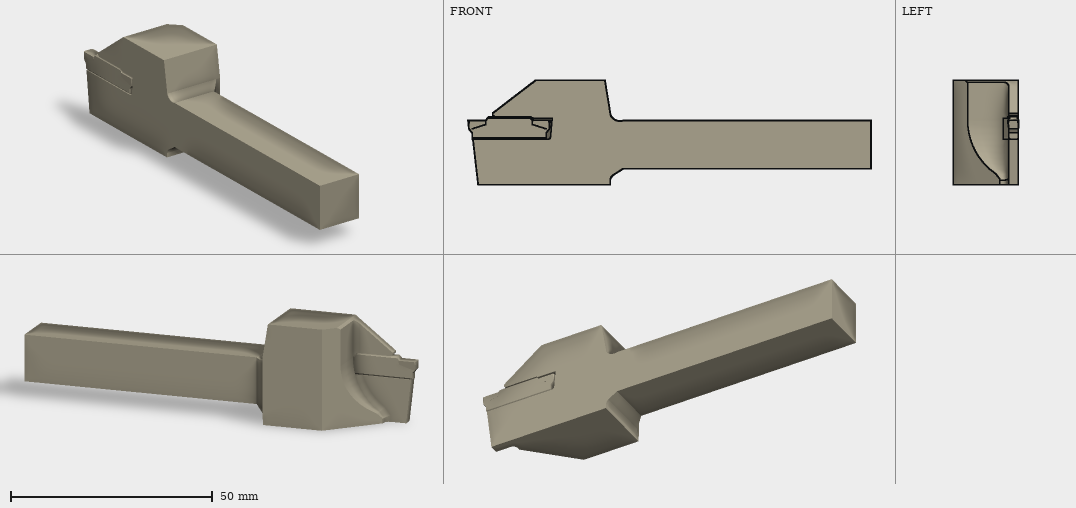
import cadquery as cq
import math

total_length = 100.0
head_height = 26.0
head_width = 16.2
shank_size = 12.0
shank_bottom = 4.0
shank_top = shank_bottom + shank_size

blade_toe_x = 2.5
blade_seat_x = 1.2
jaw_tip_x = 6.1
jaw_tip_z = 17.8
jaw_lip_z = 17.3
jaw_lip_length = 0.5
jaw_top_x = 16.8
head_top_end_x = 34.0
head_end_x = 35.4
neck_end_x = 38.5
upper_neck_z = 17.4
lower_neck_x = 35.3
lower_neck_z = 2.4
lower_neck_start_z = 1.2
lower_neck_run = 0.7
upper_neck_radius = 2.5
lower_neck_radius = 2.0

plan_nose_y = 4.6
plan_offset_x = 3.5
neck_shoulder_y = 15.0

blade_thickness = 2.4
relief_radius = 16.1
relief_end_z = 2.7
relief_toe_x = 7.9
relief_toe_z = 1.2
relief_fillet = 1.3

insert_length = 20.4
body_inset = 1.0
flank_end_x = 0.2
insert_bottom = 11.3
cutting_z = shank_top
insert_top = 16.9
tip_length = 4.4
ramp_length = 0.7
tip_overhang = 0.1
tip_back_y = 2.7
tip_heel_z = 13.9
tip_root_z = 15.0
tip_chin_z = 12.9
tip_corner_radius = 0.4
insert_chamfer = 0.4
seat_end_x = 20.9
seat_heel_x = 20.5
seat_heel_radius = 0.8
seat_depth = 3.8
seat_roof_end_x = 15.6
seat_rear_roof_z = 16.6


def prism(outline, back_y, front_y=0.0):
    """Extrude a closed XZ outline from front_y to back_y."""
    return outline.extrude(front_y - back_y).translate((0, front_y, 0))


def make_holder_blank():
    side = (
        cq.Workplane("XZ")
        .moveTo(blade_toe_x, 0)
        .lineTo(blade_seat_x, insert_bottom)
        .lineTo(jaw_tip_x + jaw_lip_length, insert_bottom)
        .lineTo(jaw_tip_x + jaw_lip_length, insert_top)
        .lineTo(jaw_tip_x, jaw_lip_z)
        .lineTo(jaw_tip_x, jaw_tip_z)
        .lineTo(jaw_top_x, head_height)
        .lineTo(head_top_end_x, head_height)
        .lineTo(head_end_x, upper_neck_z)
        .radiusArc((neck_end_x, shank_top), -upper_neck_radius)
        .lineTo(total_length, shank_top)
        .lineTo(total_length, shank_bottom)
        .lineTo(neck_end_x, shank_bottom)
        .lineTo(lower_neck_x + lower_neck_run, lower_neck_z)
        .radiusArc((lower_neck_x, lower_neck_start_z), -lower_neck_radius)
        .lineTo(lower_neck_x, 0)
        .close()
    )
    plan = (
        cq.Workplane("XY")
        .polyline([
            (0, 0),
            (total_length, 0),
            (total_length, shank_size),
            (neck_end_x, shank_size),
            (head_end_x, neck_shoulder_y),
            (head_end_x, head_width),
            (head_width + plan_offset_x, head_width),
            (plan_nose_y + plan_offset_x, plan_nose_y),
            (0, plan_nose_y),
        ])
        .close()
        .extrude(head_height)
    )
    return prism(side, head_width).intersect(plan)


def make_relief():
    """Space behind the blade, rounded about the cutting edge."""
    relief_end_x = math.sqrt(relief_radius**2 - (cutting_z - relief_end_z) ** 2)
    outline = (
        cq.Workplane("XZ")
        .moveTo(-relief_radius, -relief_radius)
        .lineTo(relief_toe_x, -relief_radius)
        .lineTo(relief_toe_x, relief_toe_z)
        .lineTo(relief_end_x, relief_end_z)
        .radiusArc((relief_radius, cutting_z), -relief_radius)
        .lineTo(relief_radius, 2 * head_height)
        .lineTo(-relief_radius, 2 * head_height)
        .close()
    )
    relief = prism(outline, head_width, blade_thickness)
    return relief.faces("<Y").edges().fillet(relief_fillet)


def make_seat():
    outline = (
        cq.Workplane("XZ")
        .moveTo(0, insert_bottom)
        .lineTo(seat_heel_x - seat_heel_radius, insert_bottom)
        .radiusArc((seat_heel_x, insert_bottom + seat_heel_radius), -seat_heel_radius)
        .lineTo(seat_end_x, seat_rear_roof_z)
        .lineTo(seat_roof_end_x, seat_rear_roof_z)
        .lineTo(seat_roof_end_x, insert_top)
        .lineTo(0, insert_top)
        .close()
    )
    return prism(outline, seat_depth)


def make_front_tip():
    """Cutting tip with rounded corners, tapering down to the sides of the insert."""
    profile = cq.Workplane("XZ").polyline([
        (0, cutting_z),
        (tip_length, cutting_z),
        (tip_length, tip_root_z),
        (body_inset, tip_heel_z),
        (body_inset, tip_chin_z),
        (flank_end_x, tip_heel_z),
    ]).close()
    section = cq.Workplane("YZ").polyline([
        (-tip_overhang, cutting_z),
        (tip_back_y, cutting_z),
        (blade_thickness, tip_heel_z),
        (blade_thickness, tip_chin_z),
        (0, tip_chin_z),
        (0, tip_heel_z),
    ]).close().extrude(tip_length)
    plan = (
        cq.Workplane("XY")
        .box(tip_length, tip_back_y + tip_overhang, head_height, centered=False)
        .translate((0, -tip_overhang, 0))
        .edges("|Z and <X")
        .fillet(tip_corner_radius)
    )
    return prism(profile, tip_back_y, -tip_overhang).intersect(section).intersect(plan)


def make_insert():
    middle_start = tip_length + ramp_length
    outline = cq.Workplane("XZ").polyline([
        (body_inset, insert_bottom),
        (body_inset, cutting_z),
        (tip_length, cutting_z),
        (middle_start, insert_top),
        (insert_length - middle_start, insert_top),
        (insert_length - tip_length, cutting_z),
        (insert_length - body_inset, cutting_z),
        (insert_length - body_inset, insert_bottom),
    ]).close()
    body = prism(outline, blade_thickness)
    body = body.faces("<Z or >Z").edges("|X").chamfer(insert_chamfer)

    front_tip = make_front_tip()
    rear_tip = front_tip.mirror("YZ", (insert_length / 2, 0, 0))
    return body.union(front_tip).union(rear_tip)


holder = make_holder_blank().cut(make_relief()).cut(make_seat())
insert = make_insert()

result = cq.Compound.makeCompound([holder.val(), insert.val()])